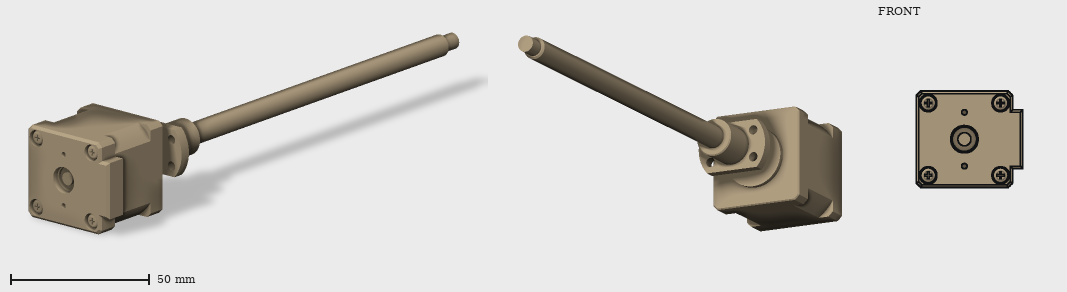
import cadquery as cq
import math

TOTAL_LENGTH = 215.5
COVER_LENGTH = 8.2
STATOR_LENGTH = 19.6
FRONT_PLATE_LENGTH = 7.1
PILOT_LENGTH = 2.0
NUT_START = 49.5
NUT_LENGTH = 18.3
FLANGE_THICKNESS = 4.0
JOURNAL_LENGTH = 6.5

MOTOR_WIDTH = 35.0
PLATE_CORNER_DIAMETER = 47.0
COVER_CHAMFER = 0.97
FRONT_CHAMFER = 0.5
STATOR_DIAMETER = 42.0
PILOT_DIAMETER = 22.0
TAB_REACH = 3.7
TAB_HEIGHT = 21.3

REAR_BORE_DIAMETER = 10.0
REAR_BORE_DEPTH = 2.4
INNER_BORE_DIAMETER = 8.8
INNER_BORE_DEPTH = 3.5
SMALL_HOLE_DIAMETER = 2.0
SMALL_HOLE_OFFSET = 9.7
SMALL_HOLE_DEPTH = 2.2

SCREW_SPACING = 26.0
COUNTERBORE_DIAMETER = 6.3
COUNTERBORE_DEPTH = 3.0
HEAD_DIAMETER = 5.4
HEAD_HEIGHT = 2.4
HEAD_ROUND = 1.0
SHANK_DIAMETER = 3.0
RECESS_LENGTH = 2.5
RECESS_WIDTH = 0.6
RECESS_DEPTH = 1.3

SCREW_SHAFT_DIAMETER = 8.2
JOURNAL_DIAMETER = 6.0
REAR_SHAFT_DIAMETER = 4.7
REAR_SHAFT_START = 2.0
SHAFT_CHAMFER = 0.6

HUB_DIAMETER = 13.8
HUB_CHAMFER = 0.5
FLANGE_DIAMETER = 27.0
FLANGE_HEIGHT = 18.0
FLANGE_HOLE_DIAMETER = 3.5
FLANGE_HOLE_CIRCLE = 20.0
FLANGE_HOLE_ANGLE = 30.0

STATOR_END = COVER_LENGTH + STATOR_LENGTH
MOTOR_END = STATOR_END + FRONT_PLATE_LENGTH


def cross_section(y):
    """Workplane across the axis at position y; local x is X, local y is Z, extrusion goes to -Y."""
    return cq.Workplane("XZ", origin=(0, y, 0))


def rod(diameter, start, end):
    return cross_section(end).circle(diameter / 2).extrude(end - start)


def screw_positions():
    half = SCREW_SPACING / 2
    return [(x, z) for x in (-half, half) for z in (-half, half)]


def screw_holes(diameter, start, end):
    return cross_section(end).pushPoints(screw_positions()).circle(diameter / 2).extrude(end - start)


def rounded_square(round_diameter, start, end):
    """Square prism whose corners are turned down to a circle about the motor axis."""
    square = cross_section(end).rect(MOTOR_WIDTH, MOTOR_WIDTH).extrude(end - start)
    return square.intersect(rod(round_diameter, start, end))


def make_housing():
    """Stator stack with the front plate and its pilot."""
    stator = rounded_square(STATOR_DIAMETER, COVER_LENGTH, STATOR_END)
    front_plate = rounded_square(PLATE_CORNER_DIAMETER, STATOR_END, MOTOR_END)
    front_plate = front_plate.faces(">Y").chamfer(FRONT_CHAMFER)
    pilot = rod(PILOT_DIAMETER, MOTOR_END, MOTOR_END + PILOT_LENGTH)
    shaft_hole = rod(SCREW_SHAFT_DIAMETER, COVER_LENGTH, MOTOR_END + PILOT_LENGTH)
    housing = stator.union(front_plate, clean=False).union(pilot, clean=False)
    housing = housing.cut(shaft_hole, clean=False)
    return housing.cut(screw_holes(SHANK_DIAMETER, COVER_LENGTH, STATOR_END), clean=False)


def make_rear_cover():
    """Rear plate with a side tab, a stepped central bore, two small holes and four counterbores."""
    tab_width = MOTOR_WIDTH / 2 + TAB_REACH
    tab_outline = cross_section(COVER_LENGTH).center(tab_width / 2, 0).rect(tab_width, TAB_HEIGHT)
    tab = tab_outline.extrude(COVER_LENGTH)
    cover = rounded_square(PLATE_CORNER_DIAMETER, 0, COVER_LENGTH).union(tab)
    cover = cover.faces("<Y").chamfer(COVER_CHAMFER)
    cover = cover.cut(rod(REAR_BORE_DIAMETER, 0, REAR_BORE_DEPTH))
    cover = cover.cut(rod(INNER_BORE_DIAMETER, 0, INNER_BORE_DEPTH))
    cover = cover.cut(rod(REAR_SHAFT_DIAMETER, 0, COVER_LENGTH))
    offsets = [(0, -SMALL_HOLE_OFFSET), (0, SMALL_HOLE_OFFSET)]
    small_holes = cross_section(SMALL_HOLE_DEPTH).pushPoints(offsets).circle(SMALL_HOLE_DIAMETER / 2)
    cover = cover.cut(small_holes.extrude(SMALL_HOLE_DEPTH))
    cover = cover.cut(screw_holes(COUNTERBORE_DIAMETER, 0, COUNTERBORE_DEPTH))
    return cover.cut(screw_holes(SHANK_DIAMETER, 0, COVER_LENGTH))


def make_cover_screw(x, z):
    """Pan-head screw with a cross recess, seated on the floor of its counterbore."""
    head_start = COUNTERBORE_DEPTH - HEAD_HEIGHT
    head = rod(HEAD_DIAMETER, head_start, COUNTERBORE_DEPTH)
    head = head.faces("<Y").edges().fillet(HEAD_ROUND)
    screw = head.union(rod(SHANK_DIAMETER, COUNTERBORE_DEPTH, STATOR_END))
    recess_end = head_start + RECESS_DEPTH
    for size in ((RECESS_LENGTH, RECESS_WIDTH), (RECESS_WIDTH, RECESS_LENGTH)):
        screw = screw.cut(cross_section(recess_end).rect(*size).extrude(RECESS_DEPTH))
    return screw.translate((x, 0, z))


def make_lead_screw():
    """Long shaft with a stepped-down rear end and a stepped-down front journal."""
    shoulder = TOTAL_LENGTH - JOURNAL_LENGTH
    shaft = rod(SCREW_SHAFT_DIAMETER, COVER_LENGTH, shoulder).faces(">Y").chamfer(SHAFT_CHAMFER)
    shaft = shaft.union(rod(JOURNAL_DIAMETER, shoulder, TOTAL_LENGTH))
    return shaft.union(rod(REAR_SHAFT_DIAMETER, REAR_SHAFT_START, COVER_LENGTH))


def make_nut():
    """Round hub on a flange with two flats and four mounting holes."""
    nut_end = NUT_START + NUT_LENGTH
    flange_end = NUT_START + FLANGE_THICKNESS
    hub = rod(HUB_DIAMETER, NUT_START, nut_end).faces(">Y").chamfer(HUB_CHAMFER)
    flats = cross_section(flange_end).rect(FLANGE_DIAMETER, FLANGE_HEIGHT).extrude(FLANGE_THICKNESS)
    flange = rod(FLANGE_DIAMETER, NUT_START, flange_end).intersect(flats)
    hole_x = FLANGE_HOLE_CIRCLE / 2 * math.cos(math.radians(FLANGE_HOLE_ANGLE))
    hole_z = FLANGE_HOLE_CIRCLE / 2 * math.sin(math.radians(FLANGE_HOLE_ANGLE))
    hole_grid = cross_section(flange_end).rect(2 * hole_x, 2 * hole_z, forConstruction=True).vertices()
    flange = flange.cut(hole_grid.circle(FLANGE_HOLE_DIAMETER / 2).extrude(FLANGE_THICKNESS))
    return hub.union(flange).cut(rod(SCREW_SHAFT_DIAMETER, NUT_START, nut_end))


housing = make_housing()
rear_cover = make_rear_cover()
cover_screws = [make_cover_screw(x, z) for x, z in screw_positions()]
lead_screw = make_lead_screw()
nut = make_nut()

result = cq.Compound.makeCompound(
    [
        housing.val(),
        rear_cover.val(),
        *[screw.val() for screw in cover_screws],
        lead_screw.val(),
        nut.val(),
    ]
)